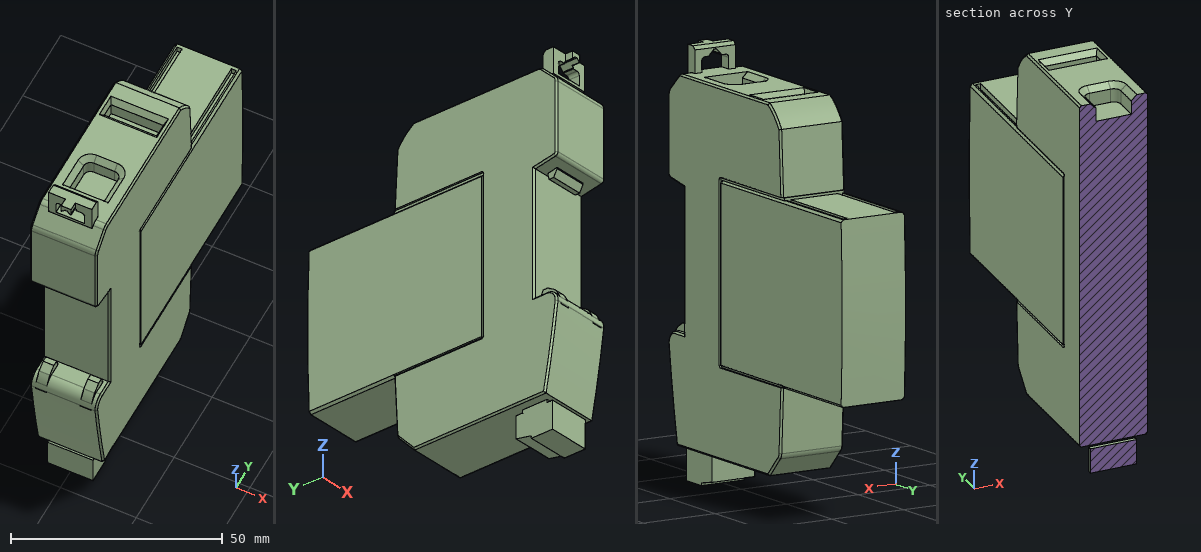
import cadquery as cq

WIDTH = 17.7
BODY_HEIGHT = 90.0
NOSE_Y = 50.4
NOSE_SLANT = 0.8
CORNER_Y = 44.4
CORNER_RISE = 5.5
CORNER_BULGE = (47.4, 87.4)
CORNER_ROUND = 2.1
LIP_ROUND = 1.0
EDGE_CHAMFER = 0.47

SHOULDER_Y = 5.1
SHOULDER_DROP = 4.7
RAIL_DEPTH = 7.0
RAIL_BOTTOM = 27.4
RAIL_TOP = 62.9
LIP_Z = 64.2
FOOT_EDGE_Y = 3.7
ROUND_START_Y = 2.7
ROUND_END_Z = 24.0

MODULE_LENGTH_END = 77.0
MODULE_CROWN = 0.5
MODULE_BACK = 23.3
MODULE_TOP = 67.6
GAP = 0.6
LEDGE_Y = 50.7
RECESS_BACK = MODULE_BACK - GAP
RECESS_TOP = MODULE_TOP + GAP
RECESS_BOTTOM = 22.2
RECESS_DEPTH = 0.5
MODULE_BEVEL = 0.6
SLOT_OUTER_X = 7.8
SLOT_WIDTH = 1.3
SLOT_DEPTH = 1.6
SLOT_END_Y = 75.6

WINDOW_SIZE = (15.2, 6.1)
WINDOW_FLOOR = (13.8, 3.5)
WINDOW_Y = 37.2
TERMINAL_WIDTH = 12.0
TERMINAL_BACK = 11.7
TERMINAL_FRONT = 23.1
TERMINAL_ROUND = 3.3
TERMINAL_BEVEL = 1.5
BEVEL_DEPTH = 1.4
POCKET_DEPTH = 4.8

TAB_TOP = 96.5
TAB_BASE = 89.2
TAB_WIDTH = 11.4
TAB_THICKNESS = 3.3
TAB_CHAMFER = 0.8
TAB_OPENING_WIDTH = 7.5
TAB_OPENING_TOP = 93.7
TAB_OPENING_ROUND = 0.8
TAB_NOTCH_WIDTH = 3.2
TAB_NOTCH_TOP = 95.3
TAB_NOTCH_SLOPE = 1.3
LUG_WIDTH = 2.6
LUG_LENGTH = 2.2
LUG_HEIGHT = 2.1

UPPER_HOOK_WIDTH = 9.5
LOWER_HOOK_WIDTH = 2.8
LOWER_HOOK_X = 5.9
FOOT_WIDTH = 12.0
FOOT_BOTTOM = -8.9


def side_sketch(points):
    return cq.Workplane("YZ").polyline(points).close()


def extruded(outline, width):
    return outline.extrude(width / 2, both=True)


def box(x_range, y_range, z_range):
    size = [high - low for low, high in (x_range, y_range, z_range)]
    corner = (x_range[0], y_range[0], z_range[0])
    return cq.Workplane("XY").box(*size, centered=False).translate(corner)


def edges_near(solid, y, z):
    reach = 0.2
    selector = cq.selectors.BoxSelector((-WIDTH, y - reach, z - reach), (WIDTH, y + reach, z + reach))
    return solid.edges("|X").edges(selector)


def make_housing():
    corner_nose_y = NOSE_Y - NOSE_SLANT
    corner_top_z = BODY_HEIGHT - CORNER_RISE
    shoulder_z = BODY_HEIGHT - SHOULDER_DROP
    outline = (
        cq.Workplane("YZ")
        .moveTo(FOOT_EDGE_Y, 0)
        .lineTo(CORNER_Y, 0)
        .lineTo(corner_nose_y, CORNER_RISE)
        .lineTo(NOSE_Y, RECESS_BOTTOM)
        .lineTo(NOSE_Y, RECESS_TOP)
        .lineTo(corner_nose_y, corner_top_z)
        .threePointArc(CORNER_BULGE, (CORNER_Y, BODY_HEIGHT))
        .lineTo(SHOULDER_Y, BODY_HEIGHT)
        .lineTo(0, shoulder_z)
        .lineTo(0, LIP_Z)
        .lineTo(RAIL_DEPTH, RAIL_TOP)
        .lineTo(RAIL_DEPTH, RAIL_BOTTOM)
        .lineTo(ROUND_START_Y, RAIL_BOTTOM)
        .threePointArc((0.8, 26.5), (0, ROUND_END_Z))
        .threePointArc((1.6, 12.4), (FOOT_EDGE_Y, 0))
        .close()
    )
    housing = extruded(outline, WIDTH)
    rounded_corners = [
        (corner_nose_y, CORNER_RISE),
        (SHOULDER_Y, BODY_HEIGHT),
        (0, shoulder_z),
    ]
    for y, z in rounded_corners:
        housing = edges_near(housing, y, z).fillet(CORNER_ROUND)
    housing = edges_near(housing, 0, LIP_Z).fillet(LIP_ROUND)
    return housing.faces("<X or >X").edges().chamfer(EDGE_CHAMFER)


def make_module_recesses():
    recess = box((-WIDTH, WIDTH), (RECESS_BACK, NOSE_Y), (RECESS_BOTTOM, RECESS_TOP))
    recess = recess.edges("|X and <Y").fillet(GAP)
    core_width = WIDTH - 2 * RECESS_DEPTH
    core = box((-core_width / 2, core_width / 2), (0, NOSE_Y), (0, BODY_HEIGHT))
    return recess.cut(core)


def make_ledge():
    half_width = WIDTH / 2 - RECESS_DEPTH
    return box((-half_width, half_width), (MODULE_BACK, LEDGE_Y), (RECESS_BOTTOM + GAP, RECESS_TOP))


def make_module():
    end_y = MODULE_LENGTH_END - MODULE_CROWN
    middle_z = (MODULE_TOP + RECESS_BOTTOM) / 2
    outline = (
        cq.Workplane("YZ")
        .moveTo(MODULE_BACK, RECESS_BOTTOM)
        .lineTo(end_y, RECESS_BOTTOM)
        .threePointArc((MODULE_LENGTH_END, middle_z), (end_y, MODULE_TOP))
        .lineTo(MODULE_BACK, MODULE_TOP)
        .close()
    )
    module = extruded(outline, WIDTH)
    module = module.faces("<Z or >Z").edges("|Y").chamfer(MODULE_BEVEL)
    gap = box((-WIDTH, WIDTH), (0, NOSE_Y), (0, RECESS_BOTTOM + GAP))
    module = module.cut(gap)
    for side in (-1, 1):
        slot = box((-SLOT_WIDTH / 2, SLOT_WIDTH / 2), (NOSE_Y, SLOT_END_Y), (MODULE_TOP - SLOT_DEPTH, MODULE_TOP))
        module = module.cut(slot.translate((side * (SLOT_OUTER_X - SLOT_WIDTH / 2), 0, 0)))
    return module


def make_window():
    bevel = (
        cq.Workplane("XY", origin=(0, WINDOW_Y, BODY_HEIGHT))
        .rect(*WINDOW_SIZE)
        .workplane(offset=-BEVEL_DEPTH)
        .rect(*WINDOW_FLOOR)
        .loft(ruled=True)
    )
    well = cq.Workplane("XY", origin=(0, WINDOW_Y, BODY_HEIGHT)).rect(*WINDOW_FLOOR).extrude(-POCKET_DEPTH)
    return bevel.union(well)


def terminal_outline(plane, inset):
    half_width = TERMINAL_WIDTH / 2 - inset
    front = TERMINAL_FRONT - inset
    radius = TERMINAL_ROUND - inset
    return (
        plane
        .moveTo(-half_width, TERMINAL_BACK)
        .lineTo(half_width, TERMINAL_BACK)
        .lineTo(half_width, front - radius)
        .radiusArc((half_width - radius, front), -radius)
        .lineTo(radius - half_width, front)
        .radiusArc((-half_width, front - radius), -radius)
        .close()
    )


def make_terminal():
    top = cq.Workplane("XY").workplane(offset=BODY_HEIGHT)
    rim = terminal_outline(top, 0).workplane(offset=-BEVEL_DEPTH)
    bevel = terminal_outline(rim, TERMINAL_BEVEL).loft(ruled=True)
    well = terminal_outline(top, TERMINAL_BEVEL).extrude(-POCKET_DEPTH)
    return bevel.union(well)


def make_tab():
    half_width = TAB_WIDTH / 2
    tab_y = (FOOT_EDGE_Y, FOOT_EDGE_Y + TAB_THICKNESS)
    tab = box((-half_width, half_width), tab_y, (TAB_BASE, TAB_TOP))
    tab = tab.edges("|X and >Y and >Z").chamfer(TAB_CHAMFER)
    lug = box((-LUG_WIDTH / 2, LUG_WIDTH / 2), (FOOT_EDGE_Y - LUG_LENGTH, tab_y[1]), (TAB_TOP - LUG_HEIGHT, TAB_TOP))
    lug = lug.intersect(box((-half_width, half_width), (0, FOOT_EDGE_Y), (TAB_BASE, TAB_TOP)))
    half_opening = TAB_OPENING_WIDTH / 2
    opening = box((-half_opening, half_opening), (0, tab_y[1]), (BODY_HEIGHT, TAB_OPENING_TOP))
    opening = opening.edges("|Y and >Z").fillet(TAB_OPENING_ROUND)
    half_notch = TAB_NOTCH_WIDTH / 2
    notch = box((-half_notch, half_notch), (0, tab_y[1]), (BODY_HEIGHT, TAB_NOTCH_TOP))
    notch = notch.edges("|Y and >Z").chamfer(TAB_NOTCH_SLOPE)
    return tab.union(lug).cut(opening).cut(notch)


def make_hooks():
    upper = [(6.2, RAIL_TOP - 0.3), (5.8, 61.2), (4.4, 61.2), (3.4, 63.2), (3.4, 65.3), (6.2, 65.3)]
    lower = (
        cq.Workplane("YZ")
        .moveTo(6.2, 23.7)
        .lineTo(6.2, 27.6)
        .lineTo(5.5, 29.5)
        .lineTo(4.0, 29.5)
        .lineTo(1.9, 28.2)
        .threePointArc((0.6, 26.5), (0, 23.7))
        .close()
    )
    lower_hook = extruded(lower, LOWER_HOOK_WIDTH)
    hooks = extruded(side_sketch(upper), UPPER_HOOK_WIDTH)
    for side in (-1, 1):
        hooks = hooks.union(lower_hook.translate((side * LOWER_HOOK_X, 0, 0)))
    return hooks


def make_foot():
    neck = box((-FOOT_WIDTH / 2, FOOT_WIDTH / 2), (5.4, 13.0), (-1.1, 1.1))
    block = [
        (FOOT_EDGE_Y, -0.8),
        (15.0, -0.8),
        (15.0, -7.2),
        (10.4, -8.1),
        (10.2, FOOT_BOTTOM),
        (FOOT_EDGE_Y, FOOT_BOTTOM),
    ]
    return extruded(side_sketch(block), FOOT_WIDTH).union(neck)


result = (
    make_housing()
    .cut(make_module_recesses())
    .union(make_ledge())
    .union(make_module())
    .cut(make_window())
    .cut(make_terminal())
    .union(make_tab())
    .union(make_hooks())
    .union(make_foot())
)